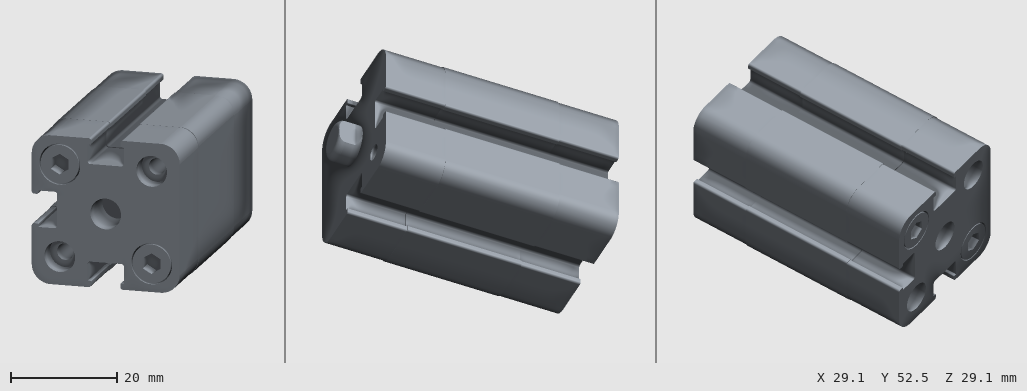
import cadquery as cq

BODY_LENGTH = 48.05
CAP_LENGTH = 12.25
BARREL_LENGTH = BODY_LENGTH - 2 * CAP_LENGTH

BARREL_WIDTH = 29.05
BARREL_CORNER_RADIUS = 3.5
CAP_WIDTH = 29.0
CAP_CORNER_RADIUS = 3.7

CAP_SLOT_DEPTH = 5.0
CAP_SLOT_WIDTH = 7.1
CAP_MOUTH_WIDTH = 5.75
SLOT_STEP = 0.15
LIP_DEPTH = 1.25
SLOT_FLOOR_RADIUS = 0.5
LIP_OUTER_RADIUS = 0.45
LIP_INNER_RADIUS = 0.2
SLOT_TURNS = (0, 90, 180)

BOLT_OFFSET = 9.0
THROUGH_DIAMETER = 3.24
COUNTERBORE_DIAMETER = 6.0
COUNTERBORE_DEPTH = 3.7
CENTER_HOLE_DIAMETER = 6.0
CENTER_HOLE_DEPTH = 8.0
SCREW_SEAT_DIAMETER = 8.0
SCREW_HEAD_DIAMETER = 7.5
SCREW_HEAD_HEIGHT = 4.0
HEX_ACROSS_FLATS = 3.5
HEX_DEPTH = 3.0

ROD_DIAMETER = 8.0
ROD_LENGTH = 4.45
ROD_TIP_RADIUS = 1.3
ROD_FLATS_WIDTH = 6.0
ROD_FLATS_RUNOUT = (ROD_DIAMETER - ROD_FLATS_WIDTH) / 2
ROD_FLATS_LENGTH = 3.4


def section_plane(y):
    """Plane square to the body axis: local X is X, local Y is Z, normal is -Y."""
    return cq.Workplane("XZ", origin=(0, y, 0))


def t_slot(width, step, y_start, length):
    """Cutter for one slot opening on the +Z side of a section of the given width."""
    top = width / 2
    mouth = CAP_MOUTH_WIDTH / 2 - step
    wall = CAP_SLOT_WIDTH / 2 - step
    floor = CAP_WIDTH / 2 - CAP_SLOT_DEPTH + step
    lip = CAP_WIDTH / 2 - LIP_DEPTH
    lip_end = mouth + LIP_INNER_RADIUS
    outline = (
        section_plane(y_start)
        .moveTo(-wall + SLOT_FLOOR_RADIUS, floor)
        .lineTo(wall - SLOT_FLOOR_RADIUS, floor)
        .radiusArc((wall, floor + SLOT_FLOOR_RADIUS), -SLOT_FLOOR_RADIUS)
        .lineTo(wall, lip)
        .lineTo(lip_end, lip)
        .radiusArc((mouth, lip + LIP_INNER_RADIUS), LIP_INNER_RADIUS)
        .lineTo(mouth, top - LIP_OUTER_RADIUS)
        .radiusArc((mouth + LIP_OUTER_RADIUS, top), LIP_OUTER_RADIUS)
        .lineTo(-mouth - LIP_OUTER_RADIUS, top)
        .radiusArc((-mouth, top - LIP_OUTER_RADIUS), LIP_OUTER_RADIUS)
        .lineTo(-mouth, lip + LIP_INNER_RADIUS)
        .radiusArc((-lip_end, lip), LIP_INNER_RADIUS)
        .lineTo(-wall, lip)
        .lineTo(-wall, floor + SLOT_FLOOR_RADIUS)
        .radiusArc((-wall + SLOT_FLOOR_RADIUS, floor), -SLOT_FLOOR_RADIUS)
        .close()
    )
    return outline.extrude(-length)


def body_section(width, corner_radius, slot_step, y_start, length):
    """Rounded square bar with a T-slot in each slotted side."""
    bar = section_plane(y_start).rect(width, width).extrude(-length)
    bar = bar.edges("|Y").fillet(corner_radius)
    slot = t_slot(width, slot_step, y_start, length)
    for turn in SLOT_TURNS:
        bar = bar.cut(slot.rotate((0, 0, 0), (0, 1, 0), -turn))
    return bar


def piston_rod():
    """Round rod with a rounded tip and two flats that ramp out at the body."""
    rod_radius = ROD_DIAMETER / 2
    rod = section_plane(BODY_LENGTH).circle(rod_radius).extrude(-ROD_LENGTH)
    rod = rod.faces(">Y").edges().fillet(ROD_TIP_RADIUS)
    tip = BODY_LENGTH + ROD_LENGTH
    flats_end = tip - ROD_FLATS_LENGTH
    half_flats = ROD_FLATS_WIDTH / 2
    envelope = (
        cq.Workplane("XY")
        .moveTo(-rod_radius, BODY_LENGTH)
        .lineTo(rod_radius, BODY_LENGTH)
        .lineTo(rod_radius, flats_end - ROD_FLATS_RUNOUT)
        .lineTo(half_flats, flats_end)
        .lineTo(half_flats, tip)
        .lineTo(-half_flats, tip)
        .lineTo(-half_flats, flats_end)
        .lineTo(-rod_radius, flats_end - ROD_FLATS_RUNOUT)
        .close()
        .extrude(ROD_DIAMETER, both=True)
    )
    return rod.intersect(envelope)


def mounting_holes():
    """Counterbored through holes at two opposite corners."""
    corners = [(BOLT_OFFSET, BOLT_OFFSET), (-BOLT_OFFSET, -BOLT_OFFSET)]
    holes = section_plane(0).pushPoints(corners)
    through = holes.circle(THROUGH_DIAMETER / 2).extrude(-BODY_LENGTH)
    counterbore = holes.circle(COUNTERBORE_DIAMETER / 2).extrude(-COUNTERBORE_DEPTH)
    return through.union(counterbore)


def screw_recesses():
    """Clearance ring around each flush screw head, and its hexagon socket."""
    corners = [(-BOLT_OFFSET, BOLT_OFFSET), (BOLT_OFFSET, -BOLT_OFFSET)]
    screws = section_plane(0).pushPoints(corners)
    seat = screws.circle(SCREW_SEAT_DIAMETER / 2).extrude(-SCREW_HEAD_HEIGHT)
    head = screws.circle(SCREW_HEAD_DIAMETER / 2).extrude(-SCREW_HEAD_HEIGHT)
    recesses = seat.cut(head)
    hexagon = section_plane(0).polygon(6, HEX_ACROSS_FLATS, circumscribed=True).extrude(-HEX_DEPTH)
    for x, z in corners:
        recesses = recesses.union(hexagon.translate((x, 0, z)))
    return recesses


def center_hole():
    """Blind hole on the body axis."""
    return section_plane(0).circle(CENTER_HOLE_DIAMETER / 2).extrude(-CENTER_HOLE_DEPTH)


front_cap = body_section(CAP_WIDTH, CAP_CORNER_RADIUS, 0, 0, CAP_LENGTH)
barrel = body_section(BARREL_WIDTH, BARREL_CORNER_RADIUS, SLOT_STEP, CAP_LENGTH, BARREL_LENGTH)
rear_cap = front_cap.translate((0, CAP_LENGTH + BARREL_LENGTH, 0))

result = front_cap.union(barrel).union(rear_cap).union(piston_rod())
result = result.cut(mounting_holes()).cut(screw_recesses()).cut(center_hole())